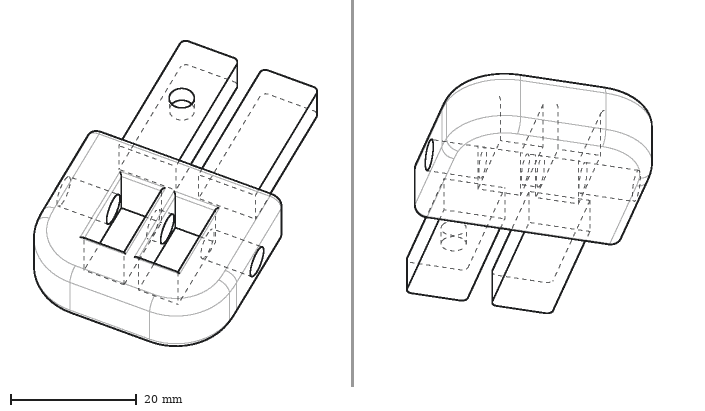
import cadquery as cq
import math

grip_width = 34.0
grip_length = 29.0
grip_height = 11.0
front_flat_width = 14.0
side_length = 17.75
blend_radius = 22.0
rim_fillet = 2.0
back_fillet = 1.0

prong_width = 10.0
prong_height = 6.0
prong_length = 24.0
prong_gap = 4.0
prong_corner_fillet = 1.0
prong_offset = (prong_gap + prong_width) / 2

prong_hole_diameter = 4.0
prong_hole_depth = 3.0
prong_hole_from_tip = 11.0

pocket_width = 7.0
pocket_length = 14.0
pocket_floor = 2.5
pocket_wall = 2.5
pocket_from_back = 14.0
pocket_mouth_fillet = 0.5
pocket_offset = (pocket_wall + pocket_width) / 2

cross_hole_diameter = 5.0
cross_hole_from_back = 10.0


def make_grip():
    half_width = grip_width / 2
    half_flat = front_flat_width / 2

    corner_x = half_width - half_flat
    corner_y = grip_length - side_length
    corner_radius = (blend_radius**2 - (blend_radius - corner_x) ** 2 - corner_y**2) / (
        2 * (blend_radius - corner_y)
    )
    blend_center_x = half_width - blend_radius
    corner_center_y = -grip_length + corner_radius
    blend_angle = math.atan2(-side_length - corner_center_y, half_flat - blend_center_x)
    join_x = blend_center_x + blend_radius * math.cos(blend_angle)
    join_y = -side_length - blend_radius * math.sin(blend_angle)

    outline = (
        cq.Workplane("XY", origin=(0, 0, -grip_height / 2))
        .moveTo(-half_width, 0)
        .lineTo(half_width, 0)
        .lineTo(half_width, -side_length)
        .tangentArcPoint((join_x, join_y), relative=False)
        .tangentArcPoint((half_flat, -grip_length), relative=False)
        .lineTo(-half_flat, -grip_length)
        .tangentArcPoint((-join_x, join_y), relative=False)
        .tangentArcPoint((-half_width, -side_length), relative=False)
        .close()
    )
    block = outline.extrude(grip_height)
    back_rims = cq.selectors.BoxSelector(
        (-grip_width, -back_fillet / 2, -grip_height),
        (grip_width, back_fillet / 2, grip_height),
    )
    rims = cq.StringSyntaxSelector("#Z") - back_rims
    block = block.edges(rims).fillet(rim_fillet)
    return block.faces(">Y").edges().fillet(back_fillet)


def make_prong(center_x):
    return (
        cq.Workplane("XY")
        .box(prong_width, prong_length + back_fillet, prong_height)
        .edges("|Z and >Y")
        .fillet(prong_corner_fillet)
        .translate((center_x, (prong_length - back_fillet) / 2, 0))
    )


def make_prong_hole():
    return (
        cq.Workplane("XY", origin=(-prong_offset, prong_length - prong_hole_from_tip, prong_height / 2))
        .circle(prong_hole_diameter / 2)
        .extrude(-prong_hole_depth)
    )


def cut_pocket(body, center_x):
    floor_z = pocket_floor - grip_height / 2
    pocket = (
        cq.Workplane("XY", origin=(center_x, -pocket_from_back, floor_z))
        .rect(pocket_width, pocket_length)
        .extrude(grip_height - pocket_floor)
    )
    reach_x = pocket_width / 2 + pocket_mouth_fillet
    reach_y = pocket_length / 2 + pocket_mouth_fillet
    mouth = cq.selectors.BoxSelector(
        (center_x - reach_x, -pocket_from_back - reach_y, grip_height / 2 - pocket_mouth_fillet),
        (center_x + reach_x, -pocket_from_back + reach_y, grip_height / 2 + pocket_mouth_fillet),
    )
    return body.cut(pocket).edges(mouth).fillet(pocket_mouth_fillet)


def make_cross_hole():
    return (
        cq.Workplane("YZ", origin=(-grip_width / 2, -cross_hole_from_back, 0))
        .circle(cross_hole_diameter / 2)
        .extrude(grip_width)
    )


result = make_grip()
for side in (-1, 1):
    result = cut_pocket(result, side * pocket_offset)
for side in (-1, 1):
    result = result.union(make_prong(side * prong_offset))
result = result.cut(make_cross_hole()).cut(make_prong_hole())